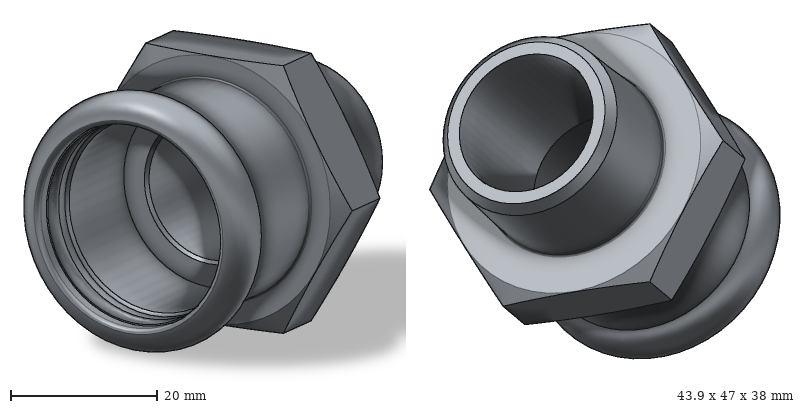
import cadquery as cq
import math

length = 47.0

hex_flats = 38.0
hex_start = 22.0
hex_end = 30.95
hex_face_diameter = 37.9
hex_chamfer_angle = 15.0

tube_radius = 31.4 / 2
tube_root_fillet = 0.3
bead_radius = 36.65 / 2
bead_width = 7.3
mouth_radius = 30.15 / 2

lip_radius = 28.8 / 2
lip_round = mouth_radius - lip_radius
groove_start = 2.15
groove_end = 5.08
groove_depth = 0.85
entry_radius = 28.4 / 2
entry_end = 6.67
socket_radius = 27.55 / 2
socket_cone_end = 7.15
socket_depth = 21.6

bore_radius = 20.0 / 2
bore_chamfer = 0.45

collar_radius = 26.9 / 2
collar_root_fillet = 0.25
collar_end = 31.9
tip_chamfer_start = 45.75
tip_radius = 23.55 / 2
thread_taper = 1 / 16
thread_end_radius = collar_radius - thread_taper * (tip_chamfer_start - collar_end) / 2


def revolve_about_y(profile):
    return profile.close().revolve(360, (0, 0, 0), (0, 1, 0))


def round_midpoint(center_x, center_y, radius, angle):
    """Point on a round at the given angle, used as the middle of an arc."""
    return (
        center_x + radius * math.cos(math.radians(angle)),
        center_y + radius * math.sin(math.radians(angle)),
    )


def make_turned_body():
    tube_root_mid = round_midpoint(
        tube_radius + tube_root_fillet, hex_start - tube_root_fillet, tube_root_fillet, 135
    )
    collar_root_mid = round_midpoint(
        collar_radius + collar_root_fillet, hex_end + collar_root_fillet, collar_root_fillet, 225
    )
    profile = (
        cq.Workplane("XY")
        .lineTo(mouth_radius, 0)
        .threePointArc((bead_radius, bead_width / 2), (tube_radius, bead_width))
        .lineTo(tube_radius, hex_start - tube_root_fillet)
        .threePointArc(tube_root_mid, (tube_radius + tube_root_fillet, hex_start))
        .lineTo(tube_radius + tube_root_fillet, hex_end)
        .lineTo(collar_radius + collar_root_fillet, hex_end)
        .threePointArc(collar_root_mid, (collar_radius, hex_end + collar_root_fillet))
        .lineTo(collar_radius, collar_end)
        .lineTo(thread_end_radius, tip_chamfer_start)
        .lineTo(tip_radius, length)
        .lineTo(0, length)
    )
    return revolve_about_y(profile)


def make_hexagon():
    corner_radius = hex_flats / 2 / math.cos(math.radians(30))
    face_radius = hex_face_diameter / 2
    corner_drop = (corner_radius - face_radius) * math.tan(math.radians(hex_chamfer_angle))
    prism = (
        cq.Workplane("XZ", origin=(0, hex_start, 0))
        .polygon(6, 2 * corner_radius)
        .extrude(hex_start - hex_end)
    )
    envelope = revolve_about_y(
        cq.Workplane("XY")
        .moveTo(0, hex_start)
        .lineTo(face_radius, hex_start)
        .lineTo(corner_radius, hex_start + corner_drop)
        .lineTo(corner_radius, hex_end - corner_drop)
        .lineTo(face_radius, hex_end)
        .lineTo(0, hex_end)
    )
    return prism.intersect(envelope)


def make_interior():
    groove_half_width = (groove_end - groove_start) / 2
    lip_mid = round_midpoint(mouth_radius, lip_round, lip_round, 225)
    profile = (
        cq.Workplane("XY")
        .lineTo(mouth_radius, 0)
        .threePointArc(lip_mid, (lip_radius, lip_round))
        .lineTo(lip_radius, groove_start)
        .lineTo(entry_radius, groove_start)
        .ellipseArc(groove_depth, groove_half_width, -90, 90, startAtCurrent=True)
        .lineTo(entry_radius, entry_end)
        .lineTo(socket_radius, socket_cone_end)
        .lineTo(socket_radius, socket_depth)
        .lineTo(bore_radius + bore_chamfer, socket_depth)
        .lineTo(bore_radius, socket_depth + bore_chamfer)
        .lineTo(bore_radius, length)
        .lineTo(0, length)
    )
    return revolve_about_y(profile)


result = make_turned_body().union(make_hexagon()).cut(make_interior())